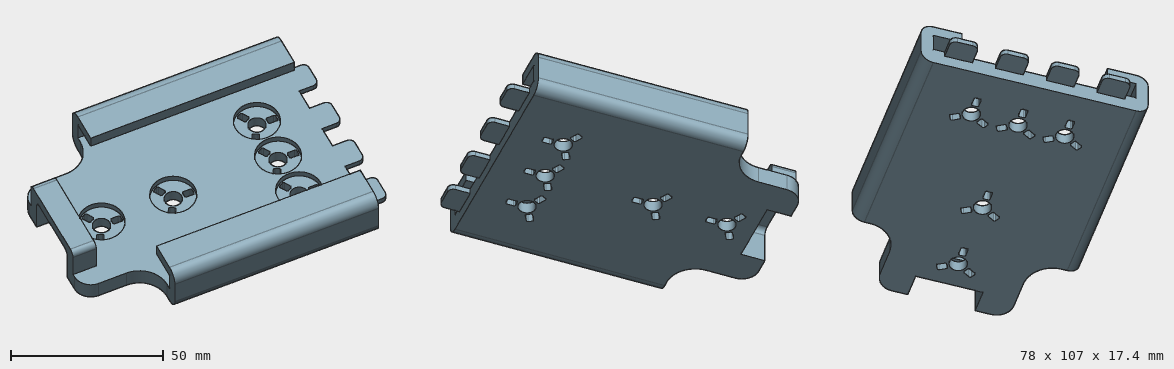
import cadquery as cq

WIDTH = 78.0
LENGTH = 107.0
HEIGHT = 17.4
PLATE_THICKNESS = 6.4

RAIL_LENGTH = 73.8
RAIL_THICKNESS = 4.2
LIP_WIDTH = 14.0

TONGUE_WIDTH = 46.0
TONGUE_CORNER_RADIUS = 6.0
SHOULDER_RADIUS = 10.0

ARCH_WIDTH = 32.1
ARCH_DEPTH = 8.5
ARCH_CORNER_RADIUS = 2.0
OPENING_WIDTH = 23.1
OPENING_CORNER_RADIUS = 2.0

TAB_COUNT = 4
TAB_PITCH = 17.4
TAB_WIDTH = 9.5
TAB_LENGTH = 7.2
TAB_THICKNESS = 2.0
TAB_CORNER_RADIUS = 2.0

RECESS_DIAMETER = 15.4
RECESS_DEPTH = 2.1
HOLE_DIAMETER = 6.0
SLOT_COUNT = 3
SLOT_WIDTH = 2.5
SLOT_INNER_RADIUS = 3.7
SLOT_OUTER_RADIUS = 7.2
SLOT_CORNER_RADIUS = 0.5
REAR_ROW_OFFSET = 17.9
REAR_ROW_PITCH = 16.0
MIDDLE_SEAT_SPACING = 38.0
FRONT_SEAT_SPACING = 26.0

RAIL_REAR = LENGTH - TAB_LENGTH
RAIL_FRONT = RAIL_REAR - RAIL_LENGTH
REAR_ROW_Y = RAIL_REAR - REAR_ROW_OFFSET
MIDDLE_SEAT_Y = REAR_ROW_Y - MIDDLE_SEAT_SPACING
FRONT_SEAT_Y = MIDDLE_SEAT_Y - FRONT_SEAT_SPACING
SEAT_CENTRES = [
    (-REAR_ROW_PITCH, REAR_ROW_Y),
    (0, REAR_ROW_Y),
    (REAR_ROW_PITCH, REAR_ROW_Y),
    (0, MIDDLE_SEAT_Y),
    (0, FRONT_SEAT_Y),
]


def box(width, depth, height, front, bottom):
    """Box centred on X = 0, growing from the given front Y and bottom Z."""
    centre_y = front + depth / 2
    return (
        cq.Workplane("XY", origin=(0, centre_y, bottom))
        .box(width, depth, height, centered=(True, True, False))
    )


def railed_plate():
    """Plate with a rail along each side, whose lip folds inward over the plate."""
    body = box(WIDTH, RAIL_LENGTH, HEIGHT, RAIL_FRONT, 0).edges("|Y").fillet(RAIL_THICKNESS)
    channel_height = HEIGHT - RAIL_THICKNESS - PLATE_THICKNESS
    channel = box(WIDTH - 2 * RAIL_THICKNESS, RAIL_LENGTH, channel_height, RAIL_FRONT, PLATE_THICKNESS)
    gap = box(WIDTH - 2 * LIP_WIDTH, RAIL_LENGTH, HEIGHT - PLATE_THICKNESS, RAIL_FRONT, PLATE_THICKNESS)
    return body.cut(channel).cut(gap)


def tongue():
    """Front tongue with rounded outer corners and concave shoulders into the plate."""
    half_width = TONGUE_WIDTH / 2
    shoulder_x = half_width + SHOULDER_RADIUS
    shoulder_y = RAIL_FRONT - SHOULDER_RADIUS
    overlap_y = RAIL_FRONT + RAIL_THICKNESS
    outline = (
        cq.Workplane("XY")
        .moveTo(-half_width, 0)
        .lineTo(half_width, 0)
        .lineTo(half_width, shoulder_y)
        .radiusArc((shoulder_x, RAIL_FRONT), SHOULDER_RADIUS)
        .lineTo(shoulder_x, overlap_y)
        .lineTo(-shoulder_x, overlap_y)
        .lineTo(-shoulder_x, RAIL_FRONT)
        .radiusArc((-half_width, shoulder_y), SHOULDER_RADIUS)
        .close()
    )
    return outline.extrude(PLATE_THICKNESS).edges("|Z and <Y").fillet(TONGUE_CORNER_RADIUS)


def arch():
    """Solid block of the strap arch, rounded along its two top edges."""
    block = box(ARCH_WIDTH, ARCH_DEPTH, HEIGHT, 0, 0)
    return block.edges("|Y and >Z").fillet(ARCH_CORNER_RADIUS)


def arch_opening():
    """Opening under the arch, running down through the plate."""
    opening = box(OPENING_WIDTH, ARCH_DEPTH, HEIGHT - RAIL_THICKNESS, 0, 0)
    return opening.edges("|Y and >Z").fillet(OPENING_CORNER_RADIUS)


def tabs():
    """Row of thin tabs level with the top of the plate, rounded at their free ends."""
    tab = box(TAB_WIDTH, TAB_LENGTH, TAB_THICKNESS, RAIL_REAR, PLATE_THICKNESS - TAB_THICKNESS)
    tab = tab.edges("|Z and >Y").fillet(TAB_CORNER_RADIUS)
    row = cq.Workplane("XY")
    for index in range(TAB_COUNT):
        offset = (index - (TAB_COUNT - 1) / 2) * TAB_PITCH
        row = row.add(tab.translate((offset, 0, 0)))
    return row.combine()


def fastener_seat():
    """Cutter for one seat, centred on the Z axis."""
    recess = (
        cq.Workplane("XY", origin=(0, 0, PLATE_THICKNESS - RECESS_DEPTH))
        .circle(RECESS_DIAMETER / 2)
        .extrude(RECESS_DEPTH)
    )
    seat = recess.union(cq.Workplane("XY").circle(HOLE_DIAMETER / 2).extrude(PLATE_THICKNESS))
    slot_length = SLOT_OUTER_RADIUS - SLOT_INNER_RADIUS
    slot = box(SLOT_WIDTH, slot_length, PLATE_THICKNESS, SLOT_INNER_RADIUS, 0)
    slot = slot.edges("|Z").fillet(SLOT_CORNER_RADIUS)
    for index in range(SLOT_COUNT):
        angle = index * 360 / SLOT_COUNT
        seat = seat.union(slot.rotate((0, 0, 0), (0, 0, 1), angle))
    return seat


result = railed_plate().union(tongue()).union(arch()).union(tabs()).cut(arch_opening())
for x, y in SEAT_CENTRES:
    result = result.cut(fastener_seat().translate((x, y, 0)))